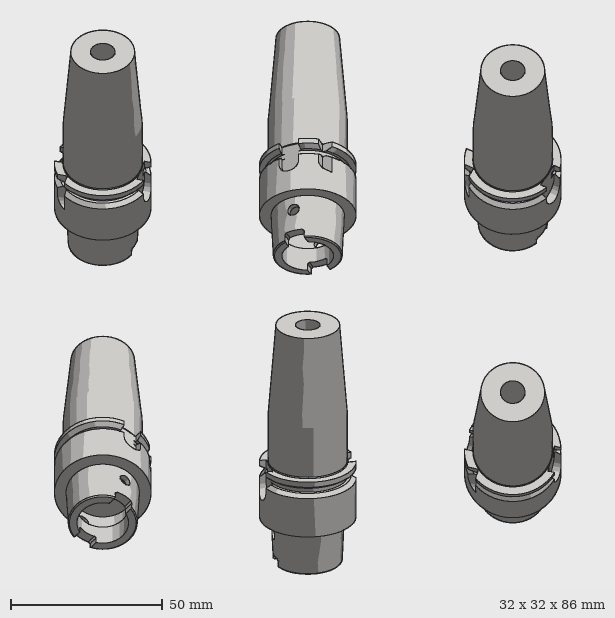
import cadquery as cq

total_height = 86.0
flange_bottom = 16.0
groove_start = 30.0
groove_floor_bottom = 31.1
groove_floor_top = 33.0
groove_end = 34.1
flange_top = 36.0
collar_top = 36.5
nose_start = 54.35

taper_end_radius = 11.4
taper_start_radius = 12.1
flange_radius = 16.0
groove_lip_radius = 14.4
groove_radius = 13.3
collar_radius = 13.25
body_radius = 13.1
nose_radius = 10.6
end_chamfer = 0.4

tool_bore_radius = 4.0
tool_bore_depth = 36.0
cavity_mouth_radius = 8.5
cavity_recess_radius = 10.15
cavity_recess_start = 8.5
cavity_end = flange_bottom

slot_floor = 13.1
slot_bottom = 24.1
left_slot_width = 7.0
right_slot_width = 9.1
notch_wall = 9.5
notch_radius = left_slot_width / 2
key_slot_width = left_slot_width
key_slot_height = 3.1
key_slot_chamfer = 0.6
clamp_hole_diameter = 4.0
clamp_hole_height = 11.1


def turned_body():
    """Taper shank, grooved flange, cylindrical body and conical nose as one revolve."""
    profile = [
        (0, 0),
        (taper_end_radius - end_chamfer, 0),
        (taper_end_radius, end_chamfer),
        (taper_start_radius, flange_bottom),
        (flange_radius, flange_bottom),
        (flange_radius, groove_start),
        (groove_lip_radius, groove_floor_bottom),
        (groove_radius, groove_floor_bottom),
        (groove_radius, groove_floor_top),
        (groove_lip_radius, groove_floor_top),
        (flange_radius, groove_end),
        (flange_radius, flange_top),
        (collar_radius, flange_top),
        (body_radius, collar_top),
        (body_radius, nose_start),
        (nose_radius, total_height),
        (0, total_height),
    ]
    return cq.Workplane("XZ").polyline(profile).close().revolve(360, (0, 0), (0, 1))


def rounded_slot(width, y_center, x_start, x_end):
    """Cutter along X with a half-round lower end, open through the flange top."""
    half_width = width / 2
    arc_height = slot_bottom + half_width
    return (
        cq.Workplane("YZ", origin=(x_start, y_center, 0))
        .moveTo(-half_width, flange_top)
        .lineTo(-half_width, arc_height)
        .threePointArc((0, slot_bottom), (half_width, arc_height))
        .lineTo(half_width, flange_top)
        .close()
        .extrude(x_end - x_start)
    )


def key_slot():
    """Slot across the open end of the taper, with chamfered upper corners."""
    return (
        cq.Workplane("XY")
        .box(2 * flange_radius, key_slot_width, key_slot_height, centered=(True, True, False))
        .edges("|X and >Z")
        .chamfer(key_slot_chamfer)
    )


def clamp_hole():
    """Cross hole along X through both walls of the hollow taper."""
    return (
        cq.Workplane("YZ", origin=(-flange_radius, 0, clamp_hole_height))
        .circle(clamp_hole_diameter / 2)
        .extrude(2 * flange_radius)
    )


tool_bore = (
    cq.Workplane("XY", origin=(0, 0, total_height - tool_bore_depth))
    .circle(tool_bore_radius)
    .extrude(tool_bore_depth)
)
cavity_mouth = cq.Workplane("XY").circle(cavity_mouth_radius).extrude(cavity_recess_start)
cavity_recess = (
    cq.Workplane("XY", origin=(0, 0, cavity_recess_start))
    .circle(cavity_recess_radius)
    .extrude(cavity_end - cavity_recess_start)
)

left_slot = rounded_slot(left_slot_width, 0, -flange_radius, -slot_floor)
right_slot = rounded_slot(right_slot_width, 0, slot_floor, flange_radius)
notch_center = -notch_wall - notch_radius
corner_notch = rounded_slot(2 * notch_radius, notch_center, -flange_radius, -notch_wall)

cutters = (
    tool_bore,
    cavity_mouth,
    cavity_recess,
    left_slot,
    right_slot,
    corner_notch,
    key_slot(),
    clamp_hole(),
)
result = turned_body()
for cutter in cutters:
    result = result.cut(cutter)